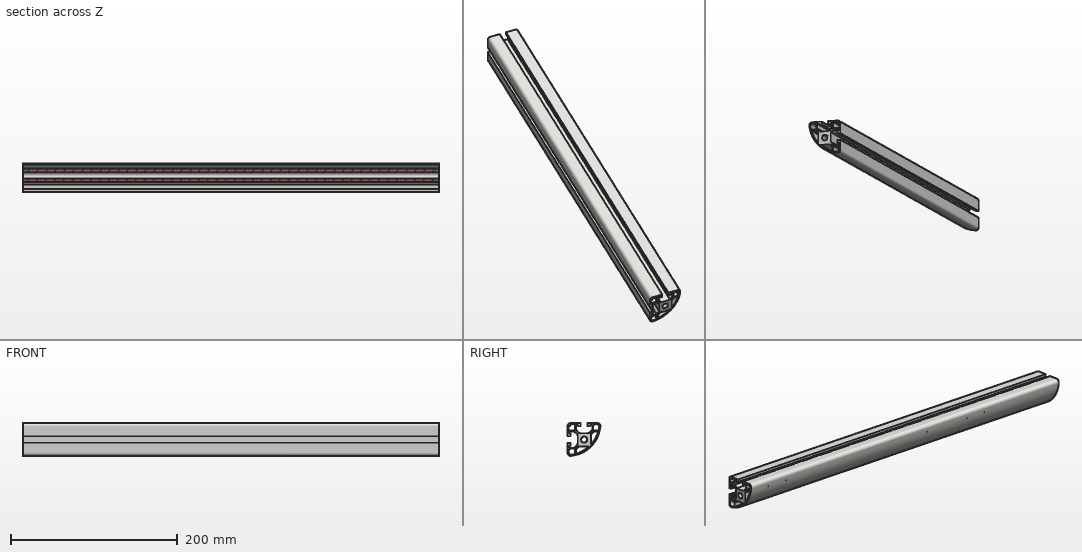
import cadquery as cq

length = 500.0
half_side = 20.0
arc_radius = 2 * half_side
corner_radius = 4.0
skin = 1.75
web = 1.5
hole_radius = 3.5

slot_half = 9.5
mouth_half = 4.0
mouth_relief_width = 0.75
mouth_relief_depth = 0.1
lip_depth = 4.25
lip_chamfer = 0.75
lip_flat_end = 6.5
lip_slope_end = 8.0
lip_root_depth = 2.5

core_half = 8.0
cavity_core_half = 8.5
rib_offset = 2.0
floor_flat_half = 3.5
floor_sag = 0.15

cell_start = slot_half + web
cell_end = half_side - skin
cell_chamfer = 3.0
cell_round = 2.5


def prism(points):
    """Full-length prism from a closed outline of (y, z) points."""
    return cq.Workplane("YZ").polyline(points).close().extrude(length)


def cylinder(y, z, radius):
    """Full-length cylinder about an axis parallel to X."""
    return cq.Workplane("YZ").center(y, z).circle(radius).extrude(length)


def across_diagonal(body):
    """Mirror image of a body in the plane z = -y."""
    return body.rotate((0, 0, 0), (1, 0, 0), 90).mirror("XY")


def envelope():
    square = cq.Workplane("YZ").rect(2 * half_side, 2 * half_side).extrude(length)
    quarter_round = cylinder(-half_side, half_side, arc_radius)
    return square.intersect(quarter_round).edges("|X").fillet(corner_radius)


def inside_rounded_wall(body):
    """The part of a body that stays one wall thickness inside the rounded side."""
    return body.intersect(cylinder(-half_side, half_side, arc_radius - skin))


def top_slot():
    """T-slot opening to +Z."""
    right_side = [
        (mouth_half + mouth_relief_width, half_side),
        (mouth_half, half_side - mouth_relief_depth),
        (mouth_half, half_side - lip_depth + lip_chamfer),
        (mouth_half + lip_chamfer, half_side - lip_depth),
        (lip_flat_end, half_side - lip_depth),
        (lip_slope_end, half_side - lip_root_depth),
        (slot_half, half_side - lip_root_depth),
        (slot_half, slot_half + rib_offset),
        (core_half - rib_offset, core_half),
        (floor_flat_half, core_half - floor_sag),
    ]
    left_side = [(-y, z) for y, z in reversed(right_side)]
    return prism(right_side + left_side)


def side_cavity():
    """Hollow between the core's +Y face and the rounded wall."""
    return inside_rounded_wall(prism([
        (cavity_core_half, -half_side),
        (cavity_core_half, cavity_core_half - rib_offset),
        (slot_half + rib_offset, slot_half),
        (half_side, slot_half),
        (half_side, -half_side),
    ]))


def square_corner_cell():
    """Hollow in the -Y +Z corner."""
    cell = prism([
        (-cell_start, cell_start),
        (-cell_end, cell_start),
        (-cell_end, cell_end),
        (-cell_start, cell_end),
    ])
    return cell.edges("|X and <Y and >Z").chamfer(cell_chamfer)


def rounded_corner_cell():
    """Hollow in the +Y +Z corner, bounded by the rounded wall."""
    cell = inside_rounded_wall(prism([
        (cell_start, cell_start),
        (half_side, cell_start),
        (half_side, cell_end),
        (cell_start, cell_end),
    ]))
    return cell.faces(">Z").edges("|X").fillet(cell_round)


profile = envelope().cut(square_corner_cell()).cut(cylinder(0, 0, hole_radius))
for hollow in (top_slot(), side_cavity(), rounded_corner_cell()):
    profile = profile.cut(hollow).cut(across_diagonal(hollow))

result = profile.translate((-length / 2, 0, 0))